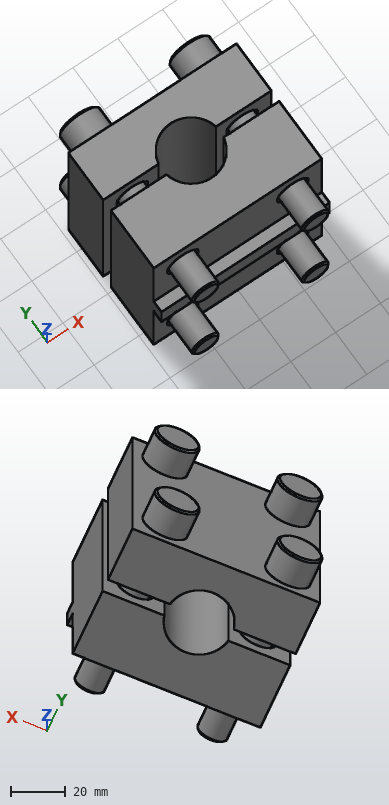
import cadquery as cq

block_width = 75.0
block_height = 80.0

clamp_gap = 5.0
front_thickness = 27.5
back_thickness = 22.5
front_inner_y = -clamp_gap / 2
front_outer_y = front_inner_y - front_thickness
back_inner_y = clamp_gap / 2
back_outer_y = back_inner_y + back_thickness

bore_diameter = 26.0

key_height = 10.3
key_depth = 5.0

screw_spacing_x = 49.0
screw_spacing_z = 54.0
shank_diameter = 12.0
shank_length = 70.0
head_diameter = 17.95
head_length = shank_diameter
tip_chamfer = 0.7
head_chamfer = 0.7
clearance_diameter = 14.0

screw_positions = [
    (side_x * screw_spacing_x / 2, side_z * screw_spacing_z / 2)
    for side_x in (-1, 1)
    for side_z in (-1, 1)
]


def block_between(y_start, y_end, height):
    """Full-width block from y_start to y_end, centred on X and Z."""
    depth = y_end - y_start
    return cq.Workplane("XY").box(block_width, depth, height).translate((0, y_start + depth / 2, 0))


def cylinder_along_y(diameter, y_start, length):
    """Cylinder on the Y axis, running from y_start toward +Y."""
    return cq.Workplane("XZ", origin=(0, y_start, 0)).circle(diameter / 2).extrude(-length)


def cut_bore(block):
    """Cut the bore along Z through the full height of a clamp half."""
    bore = cq.Workplane("XY").circle(bore_diameter / 2).extrude(block_height / 2, both=True)
    return block.cut(bore)


def cut_screw_holes(block, y_start, thickness):
    """Cut the four screw clearance holes through a clamp half."""
    hole = cylinder_along_y(clearance_diameter, y_start, thickness)
    for x, z in screw_positions:
        block = block.cut(hole.translate((x, 0, z)))
    return block


def make_front_half():
    """Thicker clamp half, with the locating key on its outer face."""
    block = block_between(front_outer_y, front_inner_y, block_height)
    key = block_between(front_outer_y - key_depth, front_outer_y, key_height)
    return cut_screw_holes(cut_bore(block.union(key)), front_outer_y, front_thickness)


def make_back_half():
    """Thinner clamp half, which the screw heads bear on."""
    block = block_between(back_inner_y, back_outer_y, block_height)
    return cut_screw_holes(cut_bore(block), back_inner_y, back_thickness)


def make_screw(x, z):
    """Cap screw with its head seated on the back half and its tip toward -Y."""
    shank = cylinder_along_y(shank_diameter, back_outer_y - shank_length, shank_length)
    shank = shank.faces("<Y").chamfer(tip_chamfer)
    head = cylinder_along_y(head_diameter, back_outer_y, head_length)
    head = head.faces(">Y").chamfer(head_chamfer)
    return shank.union(head).translate((x, 0, z))


front_half = make_front_half()
back_half = make_back_half()
screws = [make_screw(x, z) for x, z in screw_positions]

result = cq.Compound.makeCompound(
    [front_half.val(), back_half.val(), *[screw.val() for screw in screws]]
)